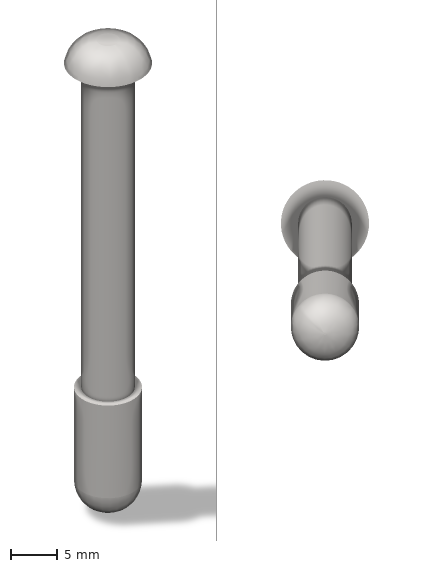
import cadquery as cq

total_height = 60.5

shank_radius = 2.9
head_radius = 4.8
head_height = 3.0
head_flat_radius = 1.3
head_bottom = total_height - head_height

cap_radius = 3.7
cap_top = 15.55
dome_height = 3.55
tip_flat_radius = 0.1
socket_floor = dome_height


def round_body(half_profile):
    """Turn a closed XZ half profile about the Z axis."""
    return half_profile.revolve(360, (0, 0, 0), (0, 1, 0))


def make_pin():
    half_profile = (
        cq.Workplane("XZ")
        .moveTo(0, socket_floor)
        .lineTo(0, total_height)
        .lineTo(head_flat_radius, total_height)
        .tangentArcPoint((head_radius, head_bottom), relative=False)
        .lineTo(shank_radius, head_bottom)
        .lineTo(shank_radius, socket_floor)
        .close()
    )
    return round_body(half_profile)


def make_cap():
    half_profile = (
        cq.Workplane("XZ")
        .moveTo(0, socket_floor)
        .lineTo(0, 0)
        .lineTo(tip_flat_radius, 0)
        .tangentArcPoint((cap_radius, dome_height), relative=False)
        .lineTo(cap_radius, cap_top)
        .lineTo(shank_radius, cap_top)
        .lineTo(shank_radius, socket_floor)
        .close()
    )
    return round_body(half_profile)


pin = make_pin()
cap = make_cap()

result = cq.Compound.makeCompound([pin.val(), cap.val()])